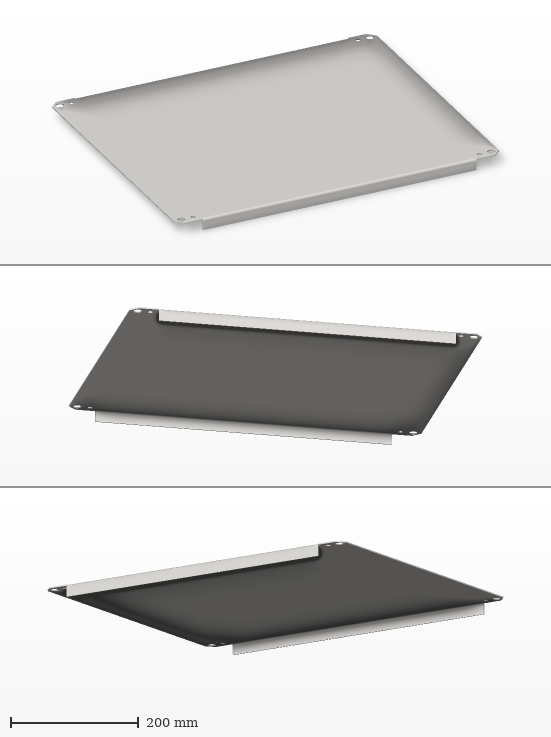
import cadquery as cq

width = 462.5
length = 564.0
height = 20.0

thickness = 2.0
bend_inner_radius = 2.0
bend_outer_radius = bend_inner_radius + thickness
flange_length = 475.0

corner_chamfer = 12.5
hole_inset = 13.0
mounting_hole_diameter = 13.0
small_hole_diameter = 8.0
small_hole_end_distance = 33.0


def make_plate():
    """Flat sheet with its top face at Z = 0 and cut-off corners."""
    sheet = cq.Workplane("XY").box(width, length, thickness, centered=(True, True, False))
    return sheet.translate((0, 0, -thickness)).edges("|Z").chamfer(corner_chamfer)


def make_bend_clearance():
    """Edge strips of the flat sheet that give way to the bent flanges."""
    strip = cq.Workplane("XY").box(bend_outer_radius, flange_length, 2 * thickness)
    offset = (width - bend_outer_radius) / 2
    return strip.translate((-offset, 0, 0)).union(strip.translate((offset, 0, 0)))


def make_left_flange():
    """Rounded bend and downward flange along the -X edge."""
    outer_x = -width / 2
    inner_x = outer_x + thickness
    bend_x = outer_x + bend_outer_radius
    bend_z = -bend_outer_radius
    profile = (
        cq.Workplane("XZ")
        .moveTo(bend_x, 0)
        .radiusArc((outer_x, bend_z), -bend_outer_radius)
        .lineTo(outer_x, -height)
        .lineTo(inner_x, -height)
        .lineTo(inner_x, bend_z)
        .radiusArc((bend_x, -thickness), bend_inner_radius)
        .close()
    )
    return profile.extrude(flange_length / 2, both=True)


def make_holes(diameter, end_distance):
    """Four through-hole cutters, mirrored about both centre lines."""
    hole_x = width / 2 - hole_inset
    hole_y = length / 2 - end_distance
    return (
        cq.Workplane("XY")
        .rect(2 * hole_x, 2 * hole_y, forConstruction=True)
        .vertices()
        .circle(diameter / 2)
        .extrude(-thickness)
    )


left_flange = make_left_flange()
right_flange = left_flange.mirror("YZ")

result = (
    make_plate()
    .cut(make_bend_clearance())
    .union(left_flange)
    .union(right_flange)
    .cut(make_holes(mounting_hole_diameter, hole_inset))
    .cut(make_holes(small_hole_diameter, small_hole_end_distance))
)